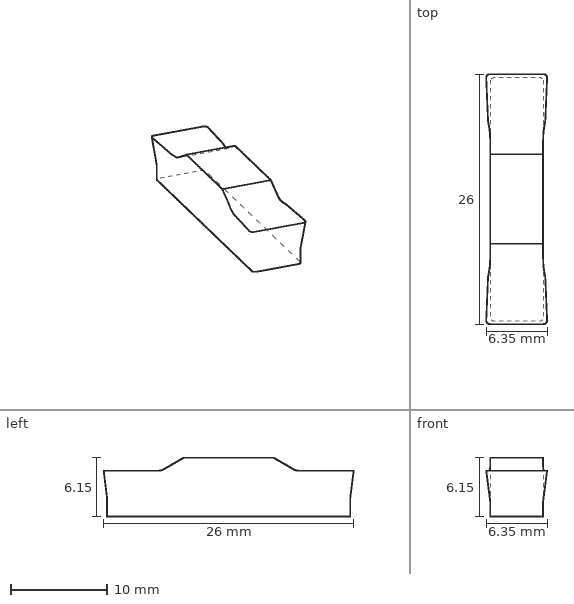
import cadquery as cq
import math


overall_length = 26.0
overall_width = 6.35
overall_height = 6.15
shank_width = 5.52
shank_length = 25.3
seat_height = 4.8
raised_top_length = 9.3
ramp_angle = 30.0
ramp_foot_radius = 0.93
clearance_angle = 7.0
back_taper_angle = 2.4
corner_radius = 0.4
neck_start = 6.07
neck_radius = 9.0
neck_sweep_length = 3.0

half_length = overall_length / 2
shank_half_width = shank_width / 2
ramp_top = raised_top_length / 2
ramp_foot = ramp_top + (overall_height - seat_height) / math.tan(math.radians(ramp_angle))
clearance_slope = math.tan(math.radians(clearance_angle))
back_taper_slope = math.tan(math.radians(back_taper_angle))


def side_profile():
    """Length-and-height outline of the whole insert, wide enough to hold the cutting ends."""
    profile = (
        cq.Workplane("YZ")
        .moveTo(-half_length, 0)
        .lineTo(half_length, 0)
        .lineTo(half_length, seat_height)
        .lineTo(ramp_foot, seat_height)
        .lineTo(ramp_top, overall_height)
        .lineTo(-ramp_top, overall_height)
        .lineTo(-ramp_foot, seat_height)
        .lineTo(-half_length, seat_height)
        .close()
        .extrude(overall_width, both=True)
    )
    foot_edges = cq.selectors.BoxSelector(
        (-overall_width, -ramp_foot - ramp_foot_radius, seat_height - ramp_foot_radius),
        (overall_width, ramp_foot + ramp_foot_radius, seat_height + ramp_foot_radius),
    )
    return profile.edges("|X").edges(foot_edges).fillet(ramp_foot_radius)


def shank():
    """Straight-sided bar with rounded upright corners."""
    return (
        cq.Workplane("XY")
        .rect(shank_width, shank_length)
        .extrude(overall_height)
        .edges("|Z")
        .fillet(corner_radius)
    )


def drafted_flare():
    """Block for the +Y cutting end: back-tapered in plan and narrowing toward the base."""
    end_overhang = (overall_height - seat_height) * clearance_slope
    side_overhang = end_overhang / math.cos(math.radians(back_taper_angle))
    end_y = half_length + end_overhang

    def half_width(y):
        taper_length = half_length - corner_radius - y
        return overall_width / 2 - taper_length * back_taper_slope + side_overhang

    flare = (
        cq.Workplane("XY", origin=(0, 0, overall_height))
        .polyline([
            (-half_width(0), 0),
            (half_width(0), 0),
            (half_width(end_y), end_y),
            (-half_width(end_y), end_y),
        ])
        .close()
        .extrude(-overall_height, taper=clearance_angle)
    )
    return flare.faces(">Y").edges("not #Z").fillet(corner_radius)


def neck_limit():
    """Upright block whose concave sides sweep tangentially out of the shank sides."""
    def sweep_point(distance):
        offset = neck_radius - math.sqrt(neck_radius**2 - distance**2)
        return shank_half_width + offset, neck_start + distance

    middle_x, middle_y = sweep_point(neck_sweep_length / 2)
    outer_x, outer_y = sweep_point(neck_sweep_length)
    return (
        cq.Workplane("XY")
        .moveTo(-shank_half_width, neck_start)
        .lineTo(shank_half_width, neck_start)
        .threePointArc((middle_x, middle_y), (outer_x, outer_y))
        .lineTo(outer_x, overall_length)
        .lineTo(-outer_x, overall_length)
        .lineTo(-outer_x, outer_y)
        .threePointArc((-middle_x, middle_y), (-shank_half_width, neck_start))
        .close()
        .extrude(overall_height)
    )


cutting_end = drafted_flare().intersect(neck_limit())
opposite_end = cutting_end.mirror("XZ")
result = shank().union(cutting_end).union(opposite_end).intersect(side_profile())